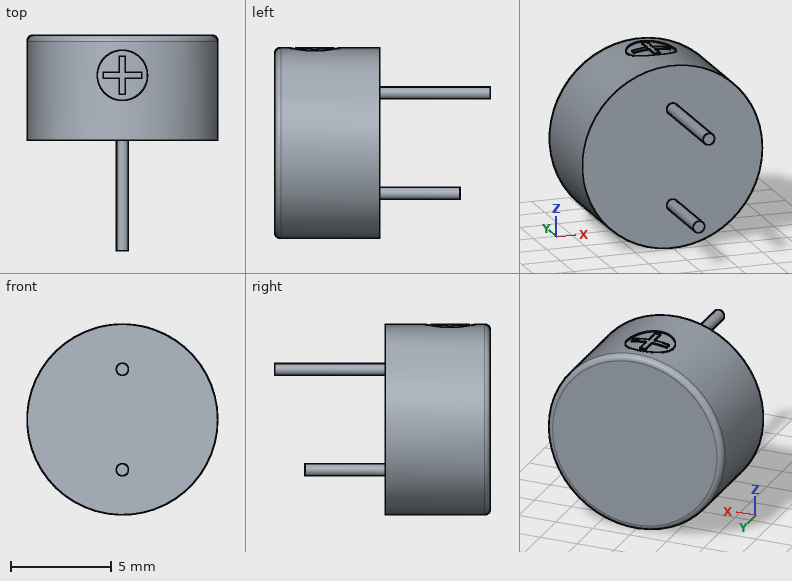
import cadquery as cq

body_diameter = 9.5
overall_length = 10.74
long_pin_length = 5.5
body_length = overall_length - long_pin_length
body_radius = body_diameter / 2
rim_fillet = 0.3

pin_diameter = 0.6
pin_spacing = 5.0
short_pin_length = 4.0

mark_diameter = 2.5
mark_position = 3.24
mark_depth = 0.05
plus_length = 1.91
plus_width = 0.3


def make_body():
    can = cq.Workplane("XZ").circle(body_radius).extrude(-body_length)
    return can.faces(">Y").edges().fillet(rim_fillet)


def make_pin(height, length):
    """Pin starting inside the can by one pin diameter and reaching `length` out of it."""
    return (
        cq.Workplane("XZ", origin=(0, pin_diameter, height))
        .circle(pin_diameter / 2)
        .extrude(length + pin_diameter)
    )


def make_mark_recess():
    """Round recess of even depth that leaves a plus sign standing at the can surface."""
    mark_plane = cq.Workplane("XY", origin=(0, mark_position, 0))
    disc = mark_plane.circle(mark_diameter / 2).extrude(body_diameter)
    for size_x, size_y in ((plus_length, plus_width), (plus_width, plus_length)):
        disc = disc.cut(mark_plane.rect(size_x, size_y).extrude(body_diameter))
    recess_floor = cq.Workplane("XZ").circle(body_radius - mark_depth).extrude(-body_length)
    return disc.cut(recess_floor)


result = (
    make_body()
    .cut(make_mark_recess())
    .union(make_pin(pin_spacing / 2, long_pin_length))
    .union(make_pin(-pin_spacing / 2, short_pin_length))
)